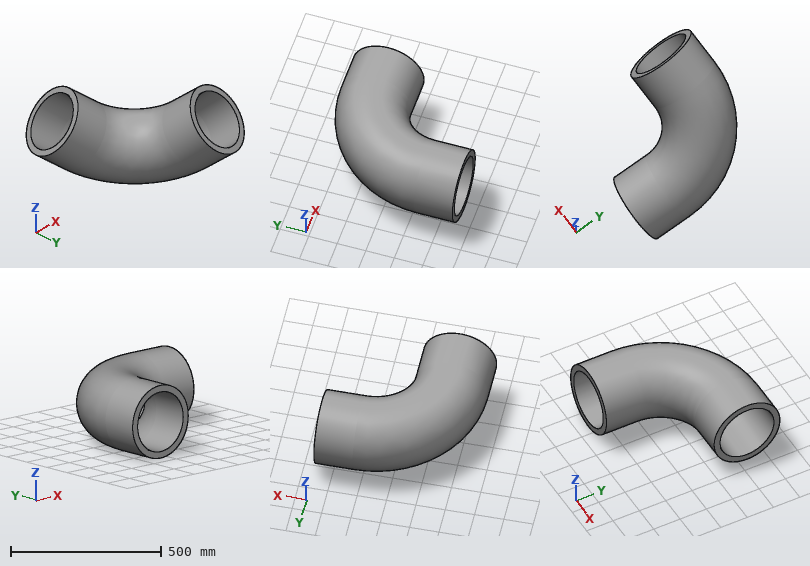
import cadquery as cq
import math

overall_size = 514.0
outer_diameter = 250.0
inner_diameter = 204.5
straight_length = 133.0

bend_radius = overall_size - outer_diameter / 2 - straight_length


def centreline():
    """Path from the -Y mouth, round the bend, to the +X mouth."""
    bend_middle = bend_radius * (1 - math.cos(math.radians(45)))
    return (
        cq.Workplane("XY")
        .moveTo(0, 0)
        .lineTo(0, straight_length)
        .threePointArc(
            (bend_middle, straight_length + bend_radius - bend_middle),
            (bend_radius, straight_length + bend_radius),
        )
        .lineTo(bend_radius + straight_length, straight_length + bend_radius)
    )


def swept_rod(diameter):
    """Solid round rod following the elbow centreline."""
    return cq.Workplane("XZ").circle(diameter / 2).sweep(centreline())


result = swept_rod(outer_diameter).cut(swept_rod(inner_diameter))